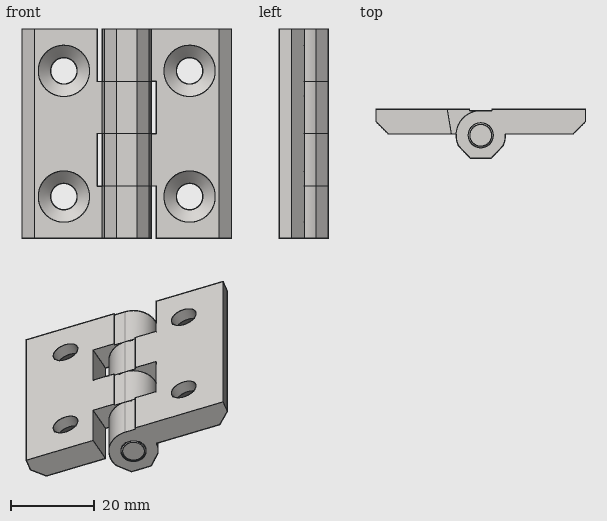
import cadquery as cq
import math

WIDTH = 50.0
HEIGHT = 50.0
LEAF_THICKNESS = 6.0
EDGE_CHAMFER = 3.0

KNUCKLE_COUNT = 4
KNUCKLE_HEIGHT = HEIGHT / KNUCKLE_COUNT
AXIS_Y = -0.25
KNUCKLE_RADIUS = 5.9
KNUCKLE_FRONT_Y = -5.75
KNUCKLE_FLAT_HALF_WIDTH = 2.5
KNUCKLE_BEVEL_Y = -2.75
KNUCKLE_BEVEL_X = math.sqrt(KNUCKLE_RADIUS**2 - (KNUCKLE_BEVEL_Y - AXIS_Y) ** 2)
KNUCKLE_BACK_Y = AXIS_Y + KNUCKLE_RADIUS
BACK_STEP_X = 2.65

RELIEF_FRONT_X = 7.0
RELIEF_BACK_X = 8.0

PIN_DIAMETER = 6.0
PIN_CHAMFER = 0.4

SCREW_SPACING = 30.0
SCREW_DIAMETER = 6.25
COUNTERSINK_DIAMETER = 12.25
COUNTERSINK_ANGLE = 90.0


def make_plate():
    """Flat part of the right-hand leaf, with its outer front edge chamfered."""
    outer_x = WIDTH / 2
    return (
        cq.Workplane("XY", origin=(0, 0, -HEIGHT / 2))
        .moveTo(RELIEF_FRONT_X, 0)
        .lineTo(outer_x - EDGE_CHAMFER, 0)
        .lineTo(outer_x, EDGE_CHAMFER)
        .lineTo(outer_x, LEAF_THICKNESS)
        .lineTo(RELIEF_BACK_X, LEAF_THICKNESS)
        .close()
        .extrude(HEIGHT)
    )


def make_knuckle(bottom_z):
    """Beveled barrel with the web that joins it to the right-hand plate."""
    leaf_joint_x = math.sqrt(KNUCKLE_RADIUS**2 - AXIS_Y**2)
    return (
        cq.Workplane("XY", origin=(0, 0, bottom_z))
        .moveTo(-KNUCKLE_FLAT_HALF_WIDTH, KNUCKLE_FRONT_Y)
        .lineTo(KNUCKLE_FLAT_HALF_WIDTH, KNUCKLE_FRONT_Y)
        .lineTo(KNUCKLE_BEVEL_X, KNUCKLE_BEVEL_Y)
        .threePointArc((KNUCKLE_RADIUS, AXIS_Y), (leaf_joint_x, 0))
        .lineTo(RELIEF_FRONT_X, 0)
        .lineTo(RELIEF_BACK_X, LEAF_THICKNESS)
        .lineTo(BACK_STEP_X, LEAF_THICKNESS)
        .lineTo(BACK_STEP_X, KNUCKLE_BACK_Y)
        .lineTo(0, KNUCKLE_BACK_Y)
        .threePointArc((-KNUCKLE_RADIUS, AXIS_Y), (-KNUCKLE_BEVEL_X, KNUCKLE_BEVEL_Y))
        .close()
        .extrude(KNUCKLE_HEIGHT)
    )


def cut_screw_holes(leaf):
    """Two through holes countersunk from the front face."""
    half_spacing = SCREW_SPACING / 2
    return (
        leaf.copyWorkplane(cq.Workplane("XZ"))
        .pushPoints([(half_spacing, -half_spacing), (half_spacing, half_spacing)])
        .cskHole(SCREW_DIAMETER, COUNTERSINK_DIAMETER, COUNTERSINK_ANGLE)
    )


def make_right_leaf():
    """Leaf on the +X side, carrying every second knuckle up to the top one."""
    leaf = make_plate()
    for index in range(1, KNUCKLE_COUNT, 2):
        leaf = leaf.union(make_knuckle(-HEIGHT / 2 + index * KNUCKLE_HEIGHT))
    pin_bore = (
        cq.Workplane("XY", origin=(0, AXIS_Y, -HEIGHT / 2))
        .circle(PIN_DIAMETER / 2)
        .extrude(HEIGHT)
    )
    return cut_screw_holes(leaf.cut(pin_bore))


def make_left_leaf():
    """The same leaf turned half a turn about Y, so that its knuckles interleave."""
    return make_right_leaf().rotate((0, 0, 0), (0, 1, 0), 180)


def make_pin():
    """Full-height pin, chamfered at both ends."""
    return (
        cq.Workplane("XY", origin=(0, AXIS_Y, -HEIGHT / 2))
        .circle(PIN_DIAMETER / 2)
        .extrude(HEIGHT)
        .faces("<Z or >Z")
        .chamfer(PIN_CHAMFER)
    )


right_leaf = make_right_leaf()
left_leaf = make_left_leaf()
pin = make_pin()

result = cq.Compound.makeCompound([right_leaf.solids().val(), left_leaf.solids().val(), pin.val()])